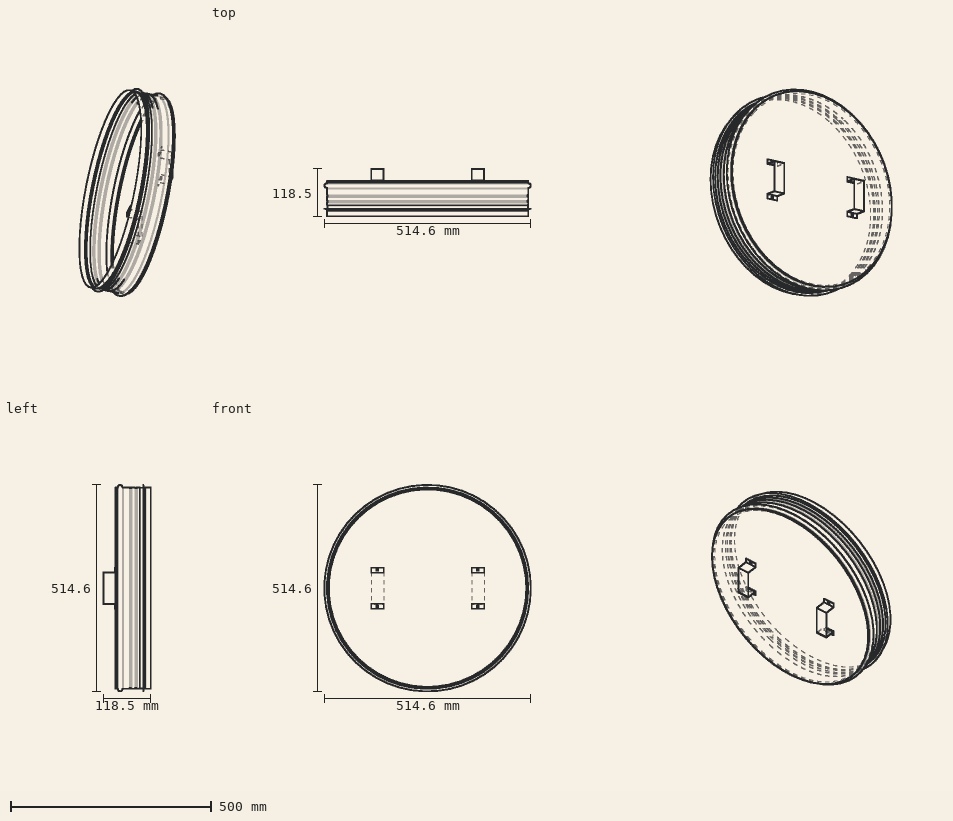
import cadquery as cq
import math

tube_outer_radius = 501.6 / 2
tube_inner_radius = 500.2 / 2
sheet = tube_outer_radius - tube_inner_radius
tube_length = 87.2

bead_top_radius = 514.6 / 2
bead_middle_y = 76.8
bead_half_width = 7.3
bead_foot_radius = 1.5

groove_floor_radius = 497 / 2 + sheet
groove_bend_width = 2.5
groove_rim_radius = 1.5
groove_width = 6
groove_middles_y = (37.6, 51.2)
recess_start_y = 13.2
recess_end_y = 29.3

gasket_band_radius = 500.6 / 2
lip_tip_radius = bead_top_radius
lip_middle_y = 18.9
lip_root_thickness = 1.6
lip_tip_thickness = 0.4

disc_radius = 500.6 / 2
disc_thickness = 1.3
disc_back_y = tube_length + disc_thickness

ring_inner_radius = 491 / 2
ring_thickness = 1.5
ring_front_y = 83.5

overall_length = 118.5
handle_spacing = 250
handle_width = 31
handle_sheet = 1.2
handle_span = 80
foot_length = 11
foot_hole_diameter = 5.5


def bend_radii_sum(depth, width):
    """Sum of the two arc radii of an S-bend of the given depth and width."""
    return (depth**2 + width**2) / (2 * depth)


def polar(centre, radius, angle):
    """A (radius, y) profile point on an arc; the angle is measured from the outward direction to +Y."""
    return (centre[0] + radius * math.cos(angle), centre[1] + radius * math.sin(angle))


def dip(pen, start_y, end_y, inset):
    """Add an inward groove with S-bent sides and a flat floor.

    The inset moves the outline towards the axis and keeps the arc centres, so that
    the sheet stays evenly thick.
    """
    depth = tube_outer_radius - groove_floor_radius
    radii_sum = bend_radii_sum(depth, groove_bend_width)
    angle = math.asin(groove_bend_width / radii_sum)
    rim = groove_rim_radius - inset
    fillet = radii_sum - rim
    rim_centre_radius = tube_outer_radius - groove_rim_radius
    floor_centre_radius = rim_centre_radius + radii_sum * math.cos(angle)
    floor_start_y = start_y + groove_bend_width
    floor_end_y = end_y - groove_bend_width

    rim_centre = (rim_centre_radius, start_y)
    floor_centre = (floor_centre_radius, floor_start_y)
    pen = pen.lineTo(*polar(rim_centre, rim, 0))
    pen = pen.threePointArc(polar(rim_centre, rim, angle / 2), polar(rim_centre, rim, angle))
    pen = pen.threePointArc(
        polar(floor_centre, -fillet, angle / 2),
        polar(floor_centre, -fillet, 0),
    )

    rim_centre = (rim_centre_radius, end_y)
    floor_centre = (floor_centre_radius, floor_end_y)
    pen = pen.lineTo(*polar(floor_centre, -fillet, 0))
    pen = pen.threePointArc(
        polar(floor_centre, -fillet, -angle / 2),
        polar(floor_centre, -fillet, -angle),
    )
    return pen.threePointArc(polar(rim_centre, rim, -angle / 2), polar(rim_centre, rim, 0))


def bead(pen, inset):
    """Add the outward bead: a round crest with a small fillet at each foot."""
    radii_sum = bend_radii_sum(bead_top_radius - tube_outer_radius, bead_half_width)
    angle = math.asin(bead_half_width / radii_sum)
    foot = bead_foot_radius + inset
    crest = radii_sum - foot
    foot_centre_radius = tube_outer_radius + bead_foot_radius
    start_foot = (foot_centre_radius, bead_middle_y - bead_half_width)
    end_foot = (foot_centre_radius, bead_middle_y + bead_half_width)
    crest_centre = (bead_top_radius - radii_sum + bead_foot_radius, bead_middle_y)

    pen = pen.lineTo(*polar(start_foot, -foot, 0))
    pen = pen.threePointArc(polar(start_foot, -foot, -angle / 2), polar(start_foot, -foot, -angle))
    pen = pen.threePointArc(polar(crest_centre, crest, 0), polar(crest_centre, crest, angle))
    return pen.threePointArc(polar(end_foot, -foot, angle / 2), polar(end_foot, -foot, 0))


def revolve_about_y(outline):
    return outline.close().revolve(360, (0, 0, 0), (0, 1, 0))


def tube_skin(inset):
    """The full body of revolution inside the tube's outside, shrunk by the inset."""
    radius = tube_outer_radius - inset
    pen = cq.Workplane("XY").lineTo(radius, 0)
    pen = dip(pen, recess_start_y, recess_end_y, inset)
    for middle_y in groove_middles_y:
        pen = dip(pen, middle_y - groove_width / 2, middle_y + groove_width / 2, inset)
    pen = bead(pen, inset)
    return revolve_about_y(pen.lineTo(radius, tube_length).lineTo(0, tube_length))


def cylinder(radius, front_y, back_y):
    return cq.Workplane("XZ", origin=(0, back_y, 0)).circle(radius).extrude(back_y - front_y)


def make_tube():
    return tube_skin(0).cut(tube_skin(sheet))


def make_gasket():
    band = cylinder(gasket_band_radius, recess_start_y, recess_end_y).cut(tube_skin(0))
    half_root = lip_root_thickness / 2
    half_tip = lip_tip_thickness / 2
    lip = revolve_about_y(
        cq.Workplane("XY")
        .moveTo(groove_floor_radius, lip_middle_y - half_root)
        .lineTo(lip_tip_radius, lip_middle_y - half_tip)
        .lineTo(lip_tip_radius, lip_middle_y + half_tip)
        .lineTo(groove_floor_radius, lip_middle_y + half_root)
    )
    return band.union(lip)


def make_disc():
    return cylinder(disc_radius, tube_length, disc_back_y)


def make_ring():
    """Flat ring with a fully rounded inner edge."""
    back_y = ring_front_y + ring_thickness
    edge_radius = ring_thickness / 2
    return revolve_about_y(
        cq.Workplane("XY")
        .moveTo(tube_inner_radius, ring_front_y)
        .lineTo(tube_inner_radius, back_y)
        .lineTo(ring_inner_radius + edge_radius, back_y)
        .threePointArc(
            (ring_inner_radius, ring_front_y + edge_radius),
            (ring_inner_radius + edge_radius, ring_front_y),
        )
    )


def make_handle(middle_x):
    """Strap bracket on the back of the disc, with a hole in each foot."""
    outer_z = handle_span / 2
    inner_z = outer_z - handle_sheet
    foot_end_z = outer_z + foot_length
    foot_back_y = disc_back_y + handle_sheet
    grip_front_y = overall_length - handle_sheet
    half_outline = [
        (grip_front_y, inner_z),
        (disc_back_y, inner_z),
        (disc_back_y, foot_end_z),
        (foot_back_y, foot_end_z),
        (foot_back_y, outer_z),
        (overall_length, outer_z),
    ]
    mirrored_half = [(y, -z) for y, z in reversed(half_outline)]
    strap = (
        cq.Workplane("YZ", origin=(middle_x - handle_width / 2, 0, 0))
        .polyline(half_outline + mirrored_half)
        .close()
        .extrude(handle_width)
    )
    hole_z = (outer_z + foot_end_z) / 2
    holes = (
        cq.Workplane("XZ", origin=(middle_x, foot_back_y, 0))
        .pushPoints([(0, -hole_z), (0, hole_z)])
        .circle(foot_hole_diameter / 2)
        .extrude(handle_sheet)
    )
    return strap.cut(holes)


tube = make_tube()
gasket = make_gasket()
disc = make_disc()
ring = make_ring()
handles = [make_handle(side * handle_spacing / 2) for side in (-1, 1)]

result = cq.Compound.makeCompound(
    [tube.val(), gasket.val(), disc.val(), ring.val(), *[handle.val() for handle in handles]]
)